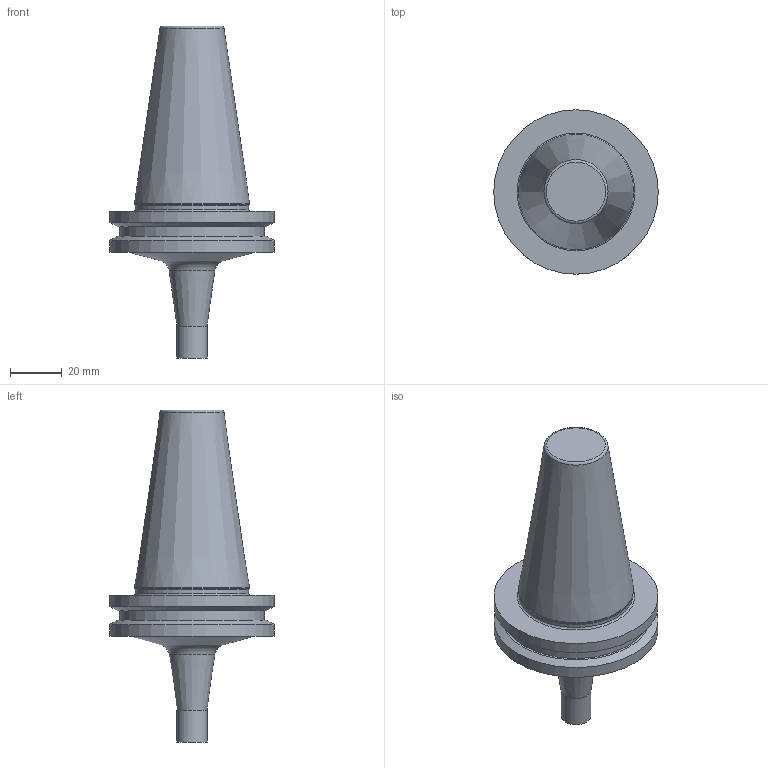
import cadquery as cq
import math

overall_length = 128.22

gauge_diameter = 44.45
taper_ratio = 7 / 24
shank_length = 68.4
tip_fillet = 1.0

neck_diameter = 44.0
shank_land_z = -0.35
neck_top_z = -1.1
neck_fillet = 0.7

flange_diameter = 63.5
flange_top_z = -3.15
flange_bottom_z = -19.05
groove_floor_diameter = 56.0
groove_center_z = -10.95
groove_floor_width = 3.75
groove_mouth_width = 7.05
groove_wall_angle = 60.0

nose_base_diameter = 48.0
nose_cone_angle = 15.3
blend_radius = 4.8
end_diameter = 11.6
end_length = 12.3
slender_half_angle = 8.0


def build_shank():
    gauge_radius = gauge_diameter / 2
    neck_radius = neck_diameter / 2
    tip_radius = gauge_radius - shank_length * taper_ratio / 2

    half_angle = math.atan(taper_ratio / 2)
    tangent_length = tip_fillet * math.tan((math.pi / 2 - half_angle) / 2)
    fillet_end = (
        tip_radius + tangent_length * math.sin(half_angle),
        shank_length - tangent_length * math.cos(half_angle),
    )
    outline = (
        cq.Workplane("XZ")
        .moveTo(0, shank_length)
        .lineTo(tip_radius - tangent_length, shank_length)
        .radiusArc(fillet_end, tip_fillet)
        .lineTo(gauge_radius, 0)
        .lineTo(gauge_radius, shank_land_z)
        .lineTo(neck_radius, neck_top_z)
        .lineTo(neck_radius, flange_top_z + neck_fillet)
        .radiusArc((neck_radius + neck_fillet, flange_top_z), -neck_fillet)
        .lineTo(0, flange_top_z)
        .close()
    )
    return outline.revolve(360, (0, 0), (0, 1))


def build_flange():
    flange_radius = flange_diameter / 2
    floor_radius = groove_floor_diameter / 2
    half_floor = groove_floor_width / 2
    half_mouth = groove_mouth_width / 2

    wall_depth = (half_mouth - half_floor) * math.tan(math.radians(groove_wall_angle))
    shoulder_radius = flange_radius - wall_depth
    outline = (
        cq.Workplane("XZ")
        .moveTo(0, flange_top_z)
        .lineTo(flange_radius, flange_top_z)
        .lineTo(flange_radius, groove_center_z + half_mouth)
        .lineTo(shoulder_radius, groove_center_z + half_floor)
        .lineTo(floor_radius, groove_center_z + half_floor)
        .lineTo(floor_radius, groove_center_z - half_floor)
        .lineTo(shoulder_radius, groove_center_z - half_floor)
        .lineTo(flange_radius, groove_center_z - half_mouth)
        .lineTo(flange_radius, flange_bottom_z)
        .lineTo(0, flange_bottom_z)
        .close()
    )
    return outline.revolve(360, (0, 0), (0, 1))


def build_nose():
    base_radius = nose_base_diameter / 2
    end_radius = end_diameter / 2
    bottom_z = shank_length - overall_length
    end_top_z = bottom_z + end_length

    cone_angle = math.radians(nose_cone_angle)
    slender_angle = math.radians(slender_half_angle)
    cone_slope = math.tan(cone_angle)
    slender_slope = math.tan(slender_angle)
    drop = flange_bottom_z - end_top_z
    corner_height = (drop - cone_slope * (base_radius - end_radius)) / (1 - cone_slope * slender_slope)
    corner_radius = end_radius + corner_height * slender_slope
    corner_z = end_top_z + corner_height

    turn_angle = math.pi / 2 - cone_angle - slender_angle
    tangent_length = blend_radius * math.tan(turn_angle / 2)
    blend_start = (
        corner_radius + tangent_length * math.cos(cone_angle),
        corner_z + tangent_length * math.sin(cone_angle),
    )
    blend_end = (
        corner_radius - tangent_length * math.sin(slender_angle),
        corner_z - tangent_length * math.cos(slender_angle),
    )
    outline = (
        cq.Workplane("XZ")
        .moveTo(0, flange_bottom_z)
        .lineTo(base_radius, flange_bottom_z)
        .lineTo(*blend_start)
        .radiusArc(blend_end, -blend_radius)
        .lineTo(end_radius, end_top_z)
        .lineTo(end_radius, bottom_z)
        .lineTo(0, bottom_z)
        .close()
    )
    return outline.revolve(360, (0, 0), (0, 1))


result = build_shank().union(build_flange()).union(build_nose())